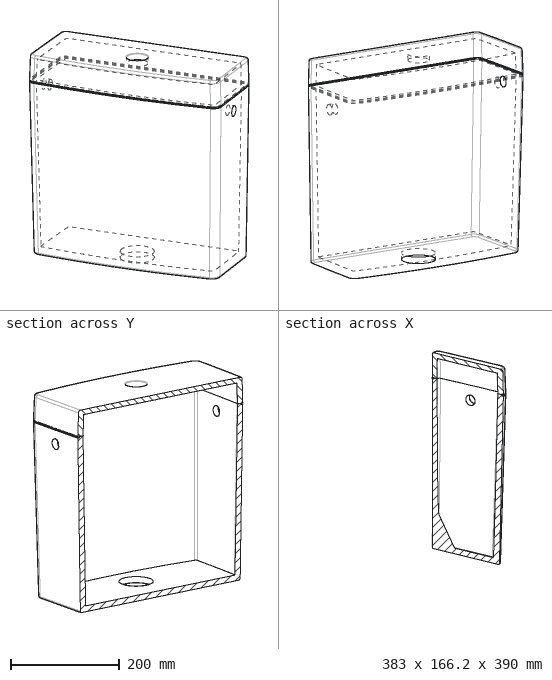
import cadquery as cq

height = 390.0
width = 383.0
depth = 166.2

side_flare = 2.5
front_bulge = 10.0
front_corner_radius = 15.5
back_corner_radius = 11.0
wall = 12.0
inner_corner_radius = 4.0

tank_height = 336.0
base_width = 371.5
base_depth = 158.0
base_fillet = 4.0
outlet_diameter = 63.0
outlet_setback = 88.0
inlet_diameter = 20.0
inlet_setback = 80.8
inlet_height = 309.0

joint_gap = 2.7
rim_inset = 3.0

lid_bottom = tank_height + joint_gap
lid_top_width = 380.0
lid_top_depth = 165.0
lid_fillet = 4.5
crown = 1.5
lid_border_height = height - crown
lid_ceiling = height - wall
button_hole_diameter = 39.8
button_hole_fillet = 1.0


def outline(outer_width, outer_depth, z, inset=0.0, front_radius=front_corner_radius,
            back_radius=back_corner_radius):
    """Closed outline: straight back, bowed sides, arched front and four rounded corners."""
    front_half = outer_width / 2 - inset
    back_half = front_half - side_flare
    back_y = -inset
    front_middle_y = -outer_depth + inset
    front_end_y = front_middle_y + front_bulge
    side_middle_y = (back_y + front_end_y) / 2
    side_middle_half = front_half - side_flare / 4
    sharp = (
        cq.Workplane("XY", origin=(0, 0, z))
        .moveTo(-back_half, back_y)
        .threePointArc((-side_middle_half, side_middle_y), (-front_half, front_end_y))
        .threePointArc((0, front_middle_y), (front_half, front_end_y))
        .threePointArc((side_middle_half, side_middle_y), (back_half, back_y))
        .close()
        .val()
    )
    front_corners = [v for v in sharp.Vertices() if v.Y < -outer_depth / 2]
    rounded = sharp.fillet2D(front_radius, front_corners)
    back_corners = [v for v in rounded.Vertices() if v.Y > -outer_depth / 2]
    return rounded.fillet2D(back_radius, back_corners)


def inner_outline(outer_width, outer_depth, z, inset=wall):
    """The outline moved inward by the inset, with small corner radii."""
    return outline(outer_width, outer_depth, z, inset, inner_corner_radius, inner_corner_radius)


def tapered_block(lower, upper):
    return cq.Workplane(cq.Solid.makeLoft([lower, upper], True))


def upright_cylinder(diameter, setback, top):
    return cq.Workplane("XY").center(0, -setback).circle(diameter / 2).extrude(top)


def make_tank():
    shell = tapered_block(
        outline(base_width, base_depth, 0),
        outline(width, depth, tank_height),
    ).faces("<Z").edges().fillet(base_fillet)

    rim = tapered_block(
        inner_outline(width, depth, tank_height - joint_gap, rim_inset),
        inner_outline(width, depth, lid_bottom, rim_inset),
    )
    cavity = tapered_block(
        inner_outline(base_width, base_depth, wall),
        inner_outline(width, depth, lid_bottom),
    )
    outlet = upright_cylinder(outlet_diameter, outlet_setback, 2 * wall)
    inlets = (
        cq.Workplane("YZ")
        .center(-inlet_setback, inlet_height)
        .circle(inlet_diameter / 2)
        .extrude(width / 2, both=True)
    )
    return shell.union(rim).cut(cavity).cut(outlet).cut(inlets).solids()


def add_crown(lid):
    """Cover the flat top of the lid with a shallow dome that keeps the border level."""
    flat_top = lid.faces(">Z").val()
    peak = cq.Vector(0, -lid_top_depth / 2, height)
    dome = cq.Face.makeNSidedSurface(flat_top.outerWire().Edges(), [peak])
    cap = cq.Solid.makeSolid(cq.Shell.makeShell([flat_top, dome]))
    return lid.union(cq.Workplane(cap))


def make_lid():
    block = tapered_block(
        outline(width, depth, lid_bottom),
        outline(lid_top_width, lid_top_depth, lid_border_height),
    ).faces(">Z").edges().fillet(lid_fillet)

    cavity = tapered_block(
        inner_outline(width, depth, lid_bottom),
        inner_outline(lid_top_width, lid_top_depth, lid_ceiling),
    )
    button_hole = upright_cylinder(button_hole_diameter, outlet_setback, 2 * height)
    lid = add_crown(block).cut(cavity).cut(button_hole)
    hole_rim_center = (0, -outlet_setback, height)
    hole_rim = lid.edges(cq.selectors.NearestToPointSelector(hole_rim_center))
    return hole_rim.fillet(button_hole_fillet).solids()


tank = make_tank()
lid = make_lid()

result = cq.Compound.makeCompound([tank.val(), lid.val()])